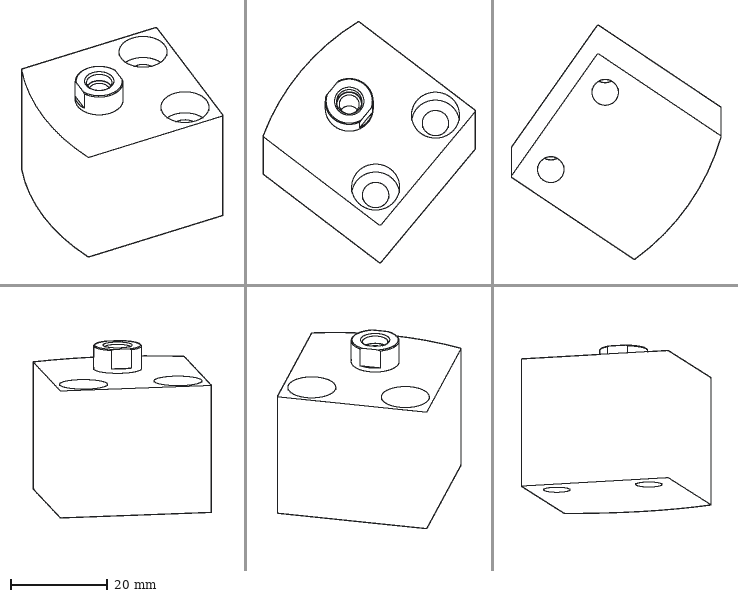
import cadquery as cq
import math

block_width = 32.0
block_height = 27.0
block_depth = 33.9
front_radius = 49.15
corner_radius = 0.35

mount_spacing = 20.0
mount_from_back = 6.0
mount_hole_diameter = 5.5
counterbore_diameter = 10.0
counterbore_depth = 5.7

overall_height = 32.0
rod_diameter = 10.0
rod_from_back = 21.0
rod_bottom = 13.55
rod_chamfer = 0.2
flat_width = 9.02
flat_bottom_gap = 0.9

mouth_diameter = 6.1
recess_diameter = 5.3
recess_depth = 2.07
step_diameter = 5.1
step_angle = 120.0
drill_diameter = 4.15
drill_depth = 10.17
drill_point_angle = 118.0


def make_rod_blank():
    """Plain cylinder that fills the rod bore and stands out above the block."""
    return (
        cq.Workplane("XY", origin=(0, -rod_from_back, rod_bottom))
        .circle(rod_diameter / 2)
        .extrude(overall_height - rod_bottom)
    )


def make_housing():
    """Block with a bowed front, two counterbored through holes and the rod bore."""
    half_width = block_width / 2
    bow = front_radius - math.sqrt(front_radius**2 - half_width**2)
    side_depth = block_depth - bow
    block = (
        cq.Workplane("XY")
        .moveTo(-half_width, 0)
        .lineTo(-half_width, -side_depth)
        .threePointArc((0, -block_depth), (half_width, -side_depth))
        .lineTo(half_width, 0)
        .close()
        .extrude(block_height)
        .edges("|Z")
        .fillet(corner_radius)
    )
    mount_places = [(side * mount_spacing / 2, -mount_from_back) for side in (-1, 1)]
    block = (
        block.faces(">Z")
        .workplane(origin=(0, 0, block_height))
        .pushPoints(mount_places)
        .cboreHole(mount_hole_diameter, counterbore_diameter, counterbore_depth)
    )
    return block.cut(make_rod_blank())


def cone_height(radial_width, included_angle):
    """Axial length of a cone that narrows by radial_width."""
    return radial_width / math.tan(math.radians(included_angle / 2))


def make_rod_hole():
    """Revolved hole: 45-degree mouth, recess, conical step, drill and drill point."""
    mouth_radius = mouth_diameter / 2
    recess_radius = recess_diameter / 2
    drill_radius = drill_diameter / 2
    mouth_depth = mouth_radius - recess_radius
    step_radius = step_diameter / 2
    step_depth = recess_depth + cone_height(step_radius - drill_radius, step_angle)
    point_length = cone_height(drill_radius, drill_point_angle)
    return (
        cq.Workplane("XZ", origin=(0, -rod_from_back, overall_height))
        .lineTo(mouth_radius, 0)
        .lineTo(recess_radius, -mouth_depth)
        .lineTo(recess_radius, -recess_depth)
        .lineTo(step_radius, -recess_depth)
        .lineTo(drill_radius, -step_depth)
        .lineTo(drill_radius, -drill_depth)
        .lineTo(0, -drill_depth - point_length)
        .close()
        .revolve(360, (0, 0, 0), (0, 1, 0))
    )


def make_rod():
    """Chamfered rod with two wrench flats facing front and back, and the end hole."""
    rod = make_rod_blank().faces(">Z").chamfer(rod_chamfer)
    flat_bottom = block_height + flat_bottom_gap
    flat_height = overall_height - flat_bottom
    flat_cut = (rod_diameter - flat_width) / 2
    flat_center = (flat_width + flat_cut) / 2
    for side in (-1, 1):
        flat = cq.Workplane("XY").box(
            rod_diameter, flat_cut, flat_height, centered=(True, True, False)
        )
        rod = rod.cut(flat.translate((0, side * flat_center - rod_from_back, flat_bottom)))
    return rod.cut(make_rod_hole())


housing = make_housing()
rod = make_rod()

result = cq.Compound.makeCompound([housing.val(), rod.val()])